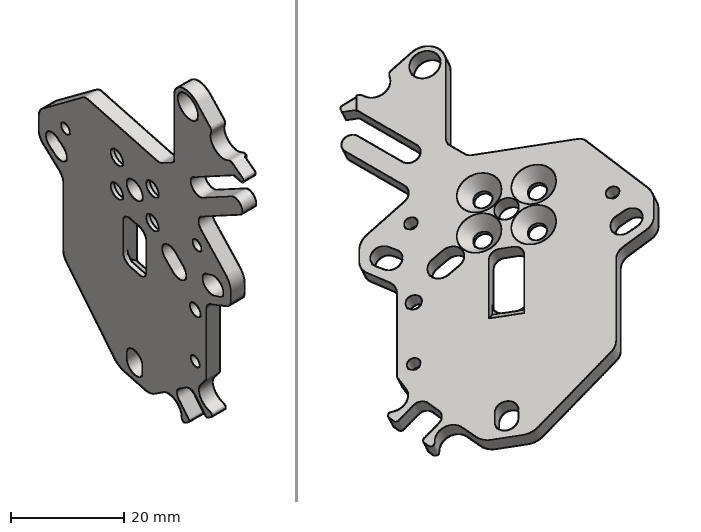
import cadquery as cq
import math

PLATE_THICKNESS = 3.175

BODY_HALF_WIDTH = 20.08
EAR_HALF_WIDTH = 27.0
SHOULDER_Z = 12.42
BOTTOM_Z = -48.17
LEFT_EAR_TOP_Z = -1.25
RIGHT_EAR_TOP_Z = -2.17
EAR_BOTTOM_Z = -8.03
WAIST_Z = -12.66
EAR_UPPER_RADIUS = 4.0
EAR_LOWER_RADIUS = 3.0
WAIST_RADIUS = 3.0
SHOULDER_LEFT_X = -13.95
SHOULDER_RIGHT_X = 7.05
SHOULDER_RADIUS = 2.0
BOTTOM_LEFT_X = -4.65
BOTTOM_RIGHT_X = 4.43
BOTTOM_RADIUS = 4.0
LEFT_WALL_BOTTOM_Z = -32.61
LEFT_WALL_RADIUS = 2.9
RIGHT_WALL_BOTTOM_Z = -31.9
RIGHT_WALL_RADIUS = 0.6

BOSS_X = 14.95
BOSS_Z = 32.98
BOSS_RADIUS = 3.86
BOSS_HOLE_DIAMETER = 5.7
NECK_X = BOSS_X - BOSS_RADIUS
NECK_FOOT_Z = 15.78
NECK_FOOT_RADIUS = 2.0
BOSS_SLOPE = math.radians(40)

HOOK_SHOULDER = (21.65, 32.39)
HOOK_SHOULDER_RADIUS = 1.0
HOOK_NOTCH_CORNER = (19.46, 24.25)
HOOK_CREST = (27.04, 28.91)
HOOK_CREST_RADIUS = 1.1
HOOK_TIP = (30.70, 27.05)
HOOK_TIP_RADIUS = 0.6
HOOK_UNDERSIDE_X = 30.27
HOOK_UNDERSIDE_RADIUS = 0.4
NOTCH_RADIUS = 2.95

ARM_ANGLE = math.radians(40)
ARM_ROOT = (17.75, 14.80)
ARM_SLOT_HALF_WIDTH = 2.02
FINGER_WIDTH = 3.66
FINGER_TIP = 12.55
FINGER_BASE = -6.15
FINGER_BASE_RADIUS = 2.24
FINGER_LOWER = -ARM_SLOT_HALF_WIDTH - FINGER_WIDTH
HOOK_HEEL = 14.88

FORK_ANGLE = math.radians(-45)
FORK_ROOT = (13.39, -39.37)
FORK_SLOT_HALF_WIDTH = 3.26
FORK_TIP_HALF_SPAN = 6.55
FORK_DEPTH = 6.34
FORK_ROOT_RADIUS = 1.85
FORK_TIP_RADIUS = 0.65
FORK_UPPER_NOTCH_CORNER = (16.06, -38.6)
FORK_LOWER_NOTCH_CORNER = (12.8, -40.1)

PIVOT_DIAMETER = 4.5
BOLT_HALF_SPACING_X = 5.0
BOLT_HALF_SPACING_Z = 4.25
BOLT_DIAMETER = 3.5
PIN_DIAMETER = 2.5
LEFT_PIN = (-19.45, 0)
RIGHT_PIN = (17.5, 0)
LOWER_PIN = (17.0, -29.7)
SIDE_HOLE = (17.0, -16.7)
SIDE_HOLE_DIAMETER = 3.0

MOUNT_SLOT_WIDTH = 4.35
MOUNT_SLOT_TRAVEL = 1.8
EAR_SLOT_X = 22.0
EAR_SLOT_Z = -6.53
EAR_SLOT_ANGLE = 31
BOTTOM_SLOT = (0, -43.6)
BOTTOM_SLOT_ANGLE = 90
ADJUST_SLOT = (11.11, -9.36)
ADJUST_SLOT_WIDTH = 4.75
ADJUST_SLOT_TRAVEL = 2.55
ADJUST_SLOT_ANGLE = -38.5

WINDOW_CENTER = (0, -14.3)
WINDOW_WIDTH = 6.45
WINDOW_HEIGHT = 12.15
WINDOW_RADIUS = 2.0

COUNTERSINK_DIAMETER = 8.2
COUNTERSINK_ANGLE = 90
WINDOW_LIP = 1.0
WINDOW_BEVEL_DROP = PLATE_THICKNESS - WINDOW_LIP
HOOK_RELIEF_DEPTH = 0.4
HOOK_RELIEF_X = 27.5
HOOK_RELIEF_BOTTOM_Z = 24.0
HOOK_RELIEF_SIZE = 6.0

MIN_EDGE = 1e-6


def local_point(origin, angle, along, across):
    """Point given by its distances along and to the left of a sloping axis."""
    x = origin[0] + along * math.cos(angle) - across * math.sin(angle)
    z = origin[1] + along * math.sin(angle) + across * math.cos(angle)
    return x, z


def arm_corner(along, across, radius):
    return (*local_point(ARM_ROOT, ARM_ANGLE, along, across), radius)


def fork_corner(along, across, radius):
    return (*local_point(FORK_ROOT, FORK_ANGLE, along, across), radius)


def round_corner(before, corner, after):
    """Start, middle and end of the arc that rounds one corner (x, z, radius)."""
    x, z, radius = corner
    point = cq.Vector(x, z)
    to_before = (cq.Vector(*before[:2]) - point).normalized()
    to_after = (cq.Vector(*after[:2]) - point).normalized()
    half_angle = to_before.getAngle(to_after) / 2
    setback = radius / math.tan(half_angle)
    crown = radius / math.sin(half_angle) - radius
    bisector = (to_before + to_after).normalized()
    return point + to_before * setback, point + bisector * crown, point + to_after * setback


def rounded_polygon(corners):
    """Closed XZ outline through the corners, each rounded by its own radius."""
    count = len(corners)
    arcs = [
        round_corner(corners[i - 1], corners[i], corners[(i + 1) % count])
        for i in range(count)
    ]
    first_start, first_middle, first_end = arcs[0]
    outline = cq.Workplane("XZ").moveTo(first_start.x, first_start.y)
    outline = outline.threePointArc(first_middle.toTuple()[:2], first_end.toTuple()[:2])
    previous_end = first_end
    for start, middle, end in arcs[1:]:
        if (start - previous_end).Length > MIN_EDGE:
            outline = outline.lineTo(start.x, start.y)
        outline = outline.threePointArc(middle.toTuple()[:2], end.toTuple()[:2])
        previous_end = end
    return outline.close()


def upper_left_corners():
    boss_run = BOSS_RADIUS / math.tan((math.pi / 2 - BOSS_SLOPE) / 2)
    boss_apex_z = BOSS_Z + boss_run
    return [
        (-EAR_HALF_WIDTH, EAR_BOTTOM_Z, EAR_LOWER_RADIUS),
        (-EAR_HALF_WIDTH, LEFT_EAR_TOP_Z, EAR_UPPER_RADIUS),
        (SHOULDER_LEFT_X, SHOULDER_Z, SHOULDER_RADIUS),
        (SHOULDER_RIGHT_X, SHOULDER_Z, SHOULDER_RADIUS),
        (NECK_X, NECK_FOOT_Z, NECK_FOOT_RADIUS),
        (NECK_X, boss_apex_z, BOSS_RADIUS),
    ]


def hook_corners():
    heel = arm_corner(HOOK_HEEL, ARM_SLOT_HALF_WIDTH, HOOK_UNDERSIDE_RADIUS)
    return [
        (*HOOK_SHOULDER, HOOK_SHOULDER_RADIUS),
        (*HOOK_NOTCH_CORNER, NOTCH_RADIUS),
        (*HOOK_CREST, HOOK_CREST_RADIUS),
        (*HOOK_TIP, HOOK_TIP_RADIUS),
        (HOOK_UNDERSIDE_X, heel[1], HOOK_UNDERSIDE_RADIUS),
        heel,
    ]


def arm_corners():
    slot = ARM_SLOT_HALF_WIDTH
    tip_radius = FINGER_WIDTH / 2
    return [
        arm_corner(-slot, slot, slot),
        arm_corner(-slot, -slot, slot),
        arm_corner(FINGER_TIP, -slot, tip_radius),
        arm_corner(FINGER_TIP, FINGER_LOWER, tip_radius),
        arm_corner(FINGER_BASE, FINGER_LOWER, FINGER_BASE_RADIUS),
    ]


def right_side_corners():
    return [
        (EAR_HALF_WIDTH, RIGHT_EAR_TOP_Z, EAR_UPPER_RADIUS),
        (EAR_HALF_WIDTH, EAR_BOTTOM_Z, EAR_LOWER_RADIUS),
        (BODY_HALF_WIDTH, WAIST_Z, WAIST_RADIUS),
        (BODY_HALF_WIDTH, RIGHT_WALL_BOTTOM_Z, RIGHT_WALL_RADIUS),
    ]


def fork_corners():
    return [
        (*FORK_UPPER_NOTCH_CORNER, NOTCH_RADIUS),
        fork_corner(FORK_DEPTH, FORK_TIP_HALF_SPAN, FORK_TIP_RADIUS),
        fork_corner(FORK_DEPTH, FORK_SLOT_HALF_WIDTH, FORK_TIP_RADIUS),
        fork_corner(0, FORK_SLOT_HALF_WIDTH, FORK_ROOT_RADIUS),
        fork_corner(0, -FORK_SLOT_HALF_WIDTH, FORK_ROOT_RADIUS),
        fork_corner(FORK_DEPTH, -FORK_SLOT_HALF_WIDTH, FORK_TIP_RADIUS),
        fork_corner(FORK_DEPTH, -FORK_TIP_HALF_SPAN, FORK_TIP_RADIUS),
        (*FORK_LOWER_NOTCH_CORNER, NOTCH_RADIUS),
    ]


def lower_left_corners():
    return [
        (BOTTOM_RIGHT_X, BOTTOM_Z, BOTTOM_RADIUS),
        (BOTTOM_LEFT_X, BOTTOM_Z, BOTTOM_RADIUS),
        (-BODY_HALF_WIDTH, LEFT_WALL_BOTTOM_Z, LEFT_WALL_RADIUS),
        (-BODY_HALF_WIDTH, WAIST_Z, WAIST_RADIUS),
    ]


def make_plate():
    corners = upper_left_corners() + hook_corners() + arm_corners()
    corners += right_side_corners() + fork_corners() + lower_left_corners()
    return rounded_polygon(corners).extrude(-PLATE_THICKNESS)


def cut_holes(plate, points, diameter):
    holes = cq.Workplane("XZ").pushPoints(points).circle(diameter / 2)
    return plate.cut(holes.extrude(-PLATE_THICKNESS))


def cut_slot(plate, center, width, travel, angle):
    slot = cq.Workplane("XZ").center(*center).slot2D(travel + width, width, angle)
    return plate.cut(slot.extrude(-PLATE_THICKNESS))


def cut_window(plate):
    window = cq.Workplane("XZ").center(*WINDOW_CENTER).rect(WINDOW_WIDTH, WINDOW_HEIGHT)
    window = window.extrude(-PLATE_THICKNESS).edges("|Y").fillet(WINDOW_RADIUS)
    return plate.cut(window)


def bevel_window(plate):
    """Slope the lower window edge away behind a thin lip on the front face."""
    sill_z = WINDOW_CENTER[1] - WINDOW_HEIGHT / 2
    corner_z = sill_z + WINDOW_RADIUS
    bevel = (
        cq.Workplane("YZ")
        .moveTo(WINDOW_LIP, corner_z)
        .lineTo(WINDOW_LIP, sill_z)
        .lineTo(PLATE_THICKNESS, sill_z - WINDOW_BEVEL_DROP)
        .lineTo(PLATE_THICKNESS, corner_z)
        .close()
        .extrude(WINDOW_WIDTH / 2, both=True)
    )
    return plate.cut(bevel)


def relieve_hook(plate):
    """Thin the hook tip from the back face."""
    relief = cq.Workplane("XY").box(
        HOOK_RELIEF_SIZE, HOOK_RELIEF_DEPTH, HOOK_RELIEF_SIZE, centered=False
    )
    offset = (HOOK_RELIEF_X, PLATE_THICKNESS - HOOK_RELIEF_DEPTH, HOOK_RELIEF_BOTTOM_Z)
    return plate.cut(relief.translate(offset))


def cut_bolt_holes(plate):
    """Four bolt holes, countersunk from the back face."""
    points = [
        (side * BOLT_HALF_SPACING_X, level * BOLT_HALF_SPACING_Z)
        for side in (-1, 1)
        for level in (-1, 1)
    ]
    plate = cut_holes(plate, points, BOLT_DIAMETER)
    mouth_radius = COUNTERSINK_DIAMETER / 2
    depth = (mouth_radius - BOLT_DIAMETER / 2) / math.tan(math.radians(COUNTERSINK_ANGLE / 2))
    for x, z in points:
        mouth = cq.Vector(x, PLATE_THICKNESS, z)
        cone = cq.Solid.makeCone(mouth_radius, BOLT_DIAMETER / 2, depth, mouth, cq.Vector(0, -1, 0))
        plate = plate.cut(cq.Workplane(cone))
    return plate


def cut_round_holes(plate):
    plate = cut_holes(plate, [(0, 0)], PIVOT_DIAMETER)
    plate = cut_holes(plate, [LEFT_PIN, RIGHT_PIN, LOWER_PIN], PIN_DIAMETER)
    plate = cut_holes(plate, [SIDE_HOLE], SIDE_HOLE_DIAMETER)
    return cut_holes(plate, [(BOSS_X, BOSS_Z)], BOSS_HOLE_DIAMETER)


def cut_slots(plate):
    for side in (-1, 1):
        center = (side * EAR_SLOT_X, EAR_SLOT_Z)
        plate = cut_slot(plate, center, MOUNT_SLOT_WIDTH, MOUNT_SLOT_TRAVEL, side * EAR_SLOT_ANGLE)
    plate = cut_slot(plate, BOTTOM_SLOT, MOUNT_SLOT_WIDTH, MOUNT_SLOT_TRAVEL, BOTTOM_SLOT_ANGLE)
    return cut_slot(plate, ADJUST_SLOT, ADJUST_SLOT_WIDTH, ADJUST_SLOT_TRAVEL, ADJUST_SLOT_ANGLE)


result = make_plate()
result = cut_round_holes(result)
result = cut_bolt_holes(result)
result = cut_slots(result)
result = cut_window(result)
result = bevel_window(result)
result = relieve_hook(result)